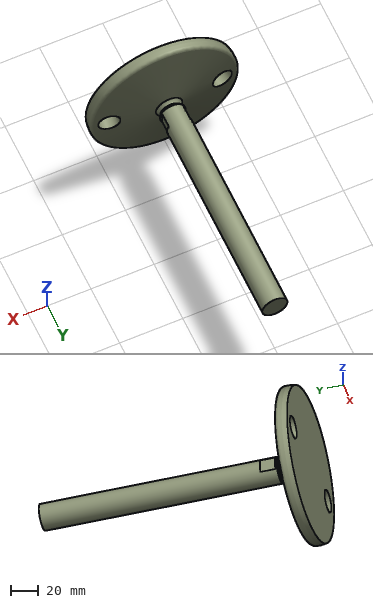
import cadquery as cq
import math

total_length = 202.0

foot_radius = 118.0 / 2
base_inset = 0.6
taper_height = 3.8
shoulder_height = 9.3
shoulder_round = 2.8
select_margin = 0.2
cone_top_height = 17.4
cone_top_radius = 10.5
neck_top_height = 20.6
neck_top_radius = 8.5
neck_hollow = 0.2

hole_diameter = 16.5
hole_offset = 42.8
hole_reach = 40.5

spindle_radius = 20.0 / 2
spindle_bottom = 22.2
spindle_chamfer = 0.6
flats_bottom = 24.0
flats_top = 35.4
across_flats = 16.8

ball_radius = 8.3
ball_centre_height = 17.0
stem_radius = 5.7

cone_slope = math.atan2(cone_top_height - shoulder_height, foot_radius - cone_top_radius)


def revolve_about_y(profile):
    return profile.close().revolve(360, (0, 0, 0), (0, 1, 0))


def make_ball():
    return cq.Workplane("XY").sphere(ball_radius).translate((0, ball_centre_height, 0))


def make_mounting_hole(side):
    """Cutter for one hole, leaning outwards towards the top of the foot."""
    direction = cq.Vector(side * math.sin(cone_slope), math.cos(cone_slope), 0)
    centre = cq.Vector(side * hole_offset, 0, 0)
    start = centre - direction * (hole_reach / 2)
    return cq.Solid.makeCylinder(hole_diameter / 2, hole_reach, start, direction)


def make_foot():
    neck_middle = (
        (cone_top_radius + neck_top_radius) / 2 - neck_hollow,
        (cone_top_height + neck_top_height) / 2 - neck_hollow,
    )
    foot = revolve_about_y(
        cq.Workplane("XY")
        .lineTo(foot_radius - base_inset, 0)
        .lineTo(foot_radius, taper_height)
        .lineTo(foot_radius, shoulder_height)
        .lineTo(cone_top_radius, cone_top_height)
        .threePointArc(neck_middle, (neck_top_radius, neck_top_height))
        .lineTo(0, neck_top_height)
    )
    select_reach = foot_radius + select_margin
    shoulder = cq.selectors.BoxSelector(
        (-select_reach, shoulder_height - select_margin, -select_reach),
        (select_reach, shoulder_height + select_margin, select_reach),
        boundingbox=True,
    )
    foot = foot.edges(shoulder).fillet(shoulder_round)
    for side in (-1, 1):
        foot = foot.cut(cq.Workplane(obj=make_mounting_hole(side)))
    return foot.cut(make_ball())


def make_spindle():
    rod = revolve_about_y(
        cq.Workplane("XY")
        .moveTo(0, ball_centre_height)
        .lineTo(stem_radius, ball_centre_height)
        .lineTo(stem_radius, spindle_bottom)
        .lineTo(spindle_radius - spindle_chamfer, spindle_bottom)
        .lineTo(spindle_radius, spindle_bottom + spindle_chamfer)
        .lineTo(spindle_radius, total_length)
        .lineTo(0, total_length)
    )
    flats_height = flats_top - flats_bottom
    for side in (-1, 1):
        flat_cut = cq.Workplane("XY").box(
            spindle_radius, flats_height, 2 * spindle_radius
        ).translate(
            (side * (across_flats + spindle_radius) / 2, flats_bottom + flats_height / 2, 0)
        )
        rod = rod.cut(flat_cut)
    return rod.union(make_ball())


foot = make_foot()
spindle = make_spindle()
result = cq.Compound.makeCompound([foot.val(), spindle.val()])